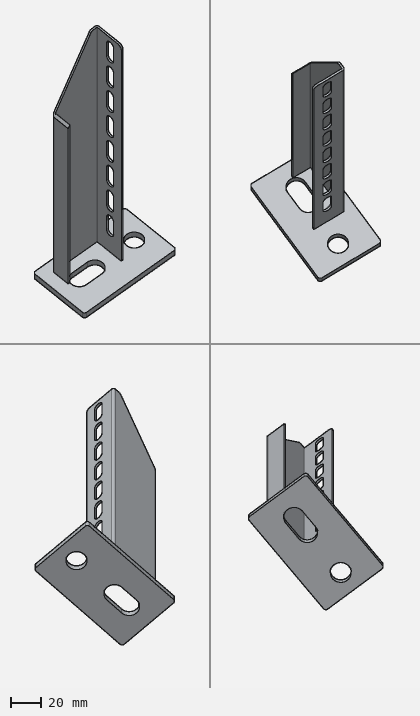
import cadquery as cq
import math

plate_width = 50.0
plate_depth = 84.0
plate_thickness = 5.0
plate_corner_radius = 2.0
anchor_diameter = 14.0
anchor_hole_y = 26.9
anchor_slot_y = -16.2
anchor_slot_length = 28.0

total_height = 222
sheet = 1.5
bend_radius = 1.8
web_x = -17.3
back_y = 9.3
channel_depth = 41.0
back_flange_width = 25.0
front_flange_width = 15.5
flange_corner_radius = 3.3

slope_angle = 60
slope_start_y = 2.9
slope_corner_radius = 3.0

slot_x = -3.0
slot_width = 6.7
slot_length = 20.0
slot_pitch = 25.0
slot_count = 8
top_slot_z = 207.3

front_y = back_y - channel_depth
inner_bend_radius = bend_radius - sheet


def make_plate():
    plate = cq.Workplane("XY").rect(plate_width, plate_depth).extrude(plate_thickness)
    plate = plate.edges("|Z").fillet(plate_corner_radius)
    hole = (
        cq.Workplane("XY")
        .center(0, anchor_hole_y)
        .circle(anchor_diameter / 2)
        .extrude(plate_thickness)
    )
    slot = (
        cq.Workplane("XY")
        .center(0, anchor_slot_y)
        .slot2D(anchor_slot_length, anchor_diameter, 90)
        .extrude(plate_thickness)
    )
    return plate.cut(hole).cut(slot)


def make_channel():
    """Full-height channel, open towards +X, with rounded bends."""
    back_end_x = web_x + back_flange_width
    front_end_x = web_x + front_flange_width
    channel = (
        cq.Workplane("XY", origin=(0, 0, plate_thickness))
        .moveTo(back_end_x, back_y)
        .lineTo(web_x, back_y)
        .lineTo(web_x, front_y)
        .lineTo(front_end_x, front_y)
        .lineTo(front_end_x, front_y + sheet)
        .lineTo(web_x + sheet, front_y + sheet)
        .lineTo(web_x + sheet, back_y - sheet)
        .lineTo(back_end_x, back_y - sheet)
        .close()
        .extrude(total_height - plate_thickness)
    )
    channel = channel.edges("|Z and <X").fillet(bend_radius)
    inner_bends = cq.selectors.BoxSelector(
        (web_x + sheet / 2, front_y + sheet / 2, 0),
        (web_x + sheet * 3 / 2, back_y - sheet / 2, total_height),
    )
    channel = channel.edges("|Z").edges(inner_bends).fillet(inner_bend_radius)
    return channel.edges("|Y and >X and >Z").fillet(flange_corner_radius)


def make_side_profile():
    """Solid whose sloped top trims the web and the front flange."""
    slope_drop = (slope_start_y - front_y) * math.tan(math.radians(slope_angle))
    profile = (
        cq.Workplane("YZ", origin=(web_x, 0, 0))
        .moveTo(back_y, plate_thickness)
        .lineTo(back_y, total_height)
        .lineTo(slope_start_y, total_height)
        .lineTo(front_y, total_height - slope_drop)
        .lineTo(front_y, plate_thickness)
        .close()
        .extrude(back_flange_width)
    )
    slope_corner = cq.selectors.NearestToPointSelector(
        (web_x + back_flange_width / 2, slope_start_y, total_height)
    )
    return profile.edges("|X").edges(slope_corner).fillet(slope_corner_radius)


def make_flange_slots():
    slot_centres = [(slot_x, top_slot_z - i * slot_pitch) for i in range(slot_count)]
    return (
        cq.Workplane("XZ", origin=(0, back_y, 0))
        .pushPoints(slot_centres)
        .slot2D(slot_length, slot_width, 90)
        .extrude(sheet)
    )


upright = make_channel().intersect(make_side_profile()).cut(make_flange_slots())

result = make_plate().union(upright)